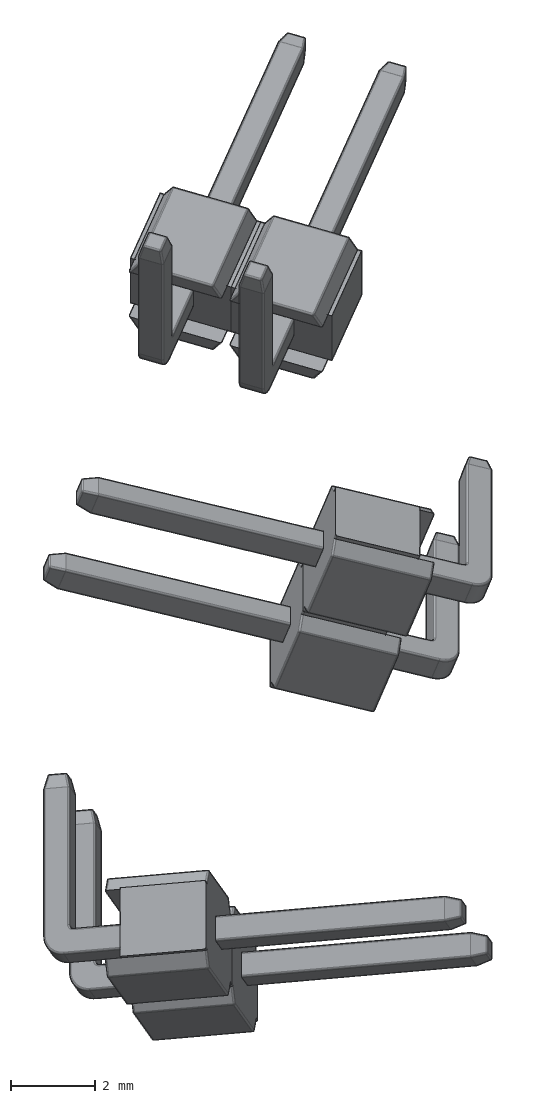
import cadquery as cq
import math


position_count = 2
pitch = 2.545

housing_height = 2.5
housing_depth = 2.5
block_depth = 2.1
flange_height = 0.38
flange_step = 0.1
flange_slope_angle = 30.0

pin_width = 0.64
rear_pin_length = 6.0
front_pin_reach = 1.72
leg_top = 4.3
tip_length = 0.39
tip_inset = 0.09
bend_outer_radius = 0.5
bend_inner_radius = 0.1

edge_radius = 0.045

block_half_height = housing_height / 2 - flange_height
flange_foot_width = pitch - 2 * flange_step
flange_top_width = flange_foot_width - 2 * flange_height * math.tan(math.radians(flange_slope_angle))
half_pin = pin_width / 2
taper_angle = math.degrees(math.atan2(tip_inset, tip_length))
leg_front = -housing_depth - front_pin_reach
leg_center = leg_front + half_pin
leg_back = leg_front + pin_width
tolerance = 0.001


def on_plane(edge, axis, place):
    """True when the whole edge lies on the plane where the given axis equals place."""
    box = edge.BoundingBox()
    low, high = {"Y": (box.ymin, box.ymax), "Z": (box.zmin, box.zmax)}[axis]
    return abs(low - place) < tolerance and abs(high - place) < tolerance


def make_flange(side):
    """Flange on the top (side = 1) or the bottom (side = -1) of the block."""
    foot = side * block_half_height
    crest = side * housing_height / 2
    return (
        cq.Workplane("XZ")
        .moveTo(-flange_foot_width / 2, foot)
        .lineTo(flange_foot_width / 2, foot)
        .lineTo(flange_top_width / 2, crest)
        .lineTo(-flange_top_width / 2, crest)
        .close()
        .extrude(housing_depth)
    )


def make_housing():
    """Solid housing of one position, its flanges overhanging the block at the front."""
    block = cq.Workplane("XZ").rect(pitch, 2 * block_half_height).extrude(block_depth)
    body = block.union(make_flange(1)).union(make_flange(-1))

    rear_edges = body.faces(">Y").edges("not |Z").vals()
    front_edges = [
        edge
        for edge in body.faces("<Y").edges().vals()
        if not on_plane(edge, "Z", block_half_height) and not on_plane(edge, "Z", -block_half_height)
    ]
    crest_edges = body.faces("<Z or >Z").edges("|Y").vals()
    return body.newObject(rear_edges + front_edges + crest_edges).fillet(edge_radius)


def make_rear_pin():
    """Straight pin standing on the rear face of the housing."""
    tip_start = rear_pin_length - tip_length
    pin = (
        cq.Workplane("XZ")
        .rect(pin_width, pin_width)
        .extrude(-tip_start)
        .faces(">Y")
        .workplane()
        .rect(pin_width, pin_width)
        .extrude(tip_length, taper=taper_angle)
    )
    outline_edges = [
        edge
        for edge in pin.edges().vals()
        if not on_plane(edge, "Y", 0) and not on_plane(edge, "Y", tip_start)
    ]
    return pin.newObject(outline_edges).fillet(edge_radius)


def make_front_pin():
    """Pin leaving the front of the block and bent upward into a leg."""
    tip_start = leg_top - tip_length
    pin = (
        cq.Workplane("YZ")
        .moveTo(-block_depth, -half_pin)
        .lineTo(leg_front + bend_outer_radius, -half_pin)
        .radiusArc((leg_front, -half_pin + bend_outer_radius), bend_outer_radius)
        .lineTo(leg_front, tip_start)
        .lineTo(leg_back, tip_start)
        .lineTo(leg_back, half_pin + bend_inner_radius)
        .radiusArc((leg_back + bend_inner_radius, half_pin), -bend_inner_radius)
        .lineTo(-block_depth, half_pin)
        .close()
        .extrude(half_pin, both=True)
    )
    tip = (
        cq.Workplane("XY", origin=(0, leg_center, tip_start))
        .rect(pin_width, pin_width)
        .extrude(tip_length, taper=taper_angle)
    )
    pin = pin.union(tip)
    outline_edges = [
        edge
        for edge in pin.edges("not |X").vals() + pin.faces(">Z").edges("|X").vals()
        if not on_plane(edge, "Y", -block_depth) and not on_plane(edge, "Z", tip_start)
    ]
    return pin.newObject(outline_edges).fillet(edge_radius)


housing = make_housing()
rear_pin = make_rear_pin()
front_pin = make_front_pin()
bodies = []
for index in range(position_count):
    offset = cq.Vector((index - (position_count - 1) / 2) * pitch, 0, 0)
    for body in (housing, rear_pin, front_pin):
        bodies.append(body.translate(offset).val())

result = cq.Compound.makeCompound(bodies)